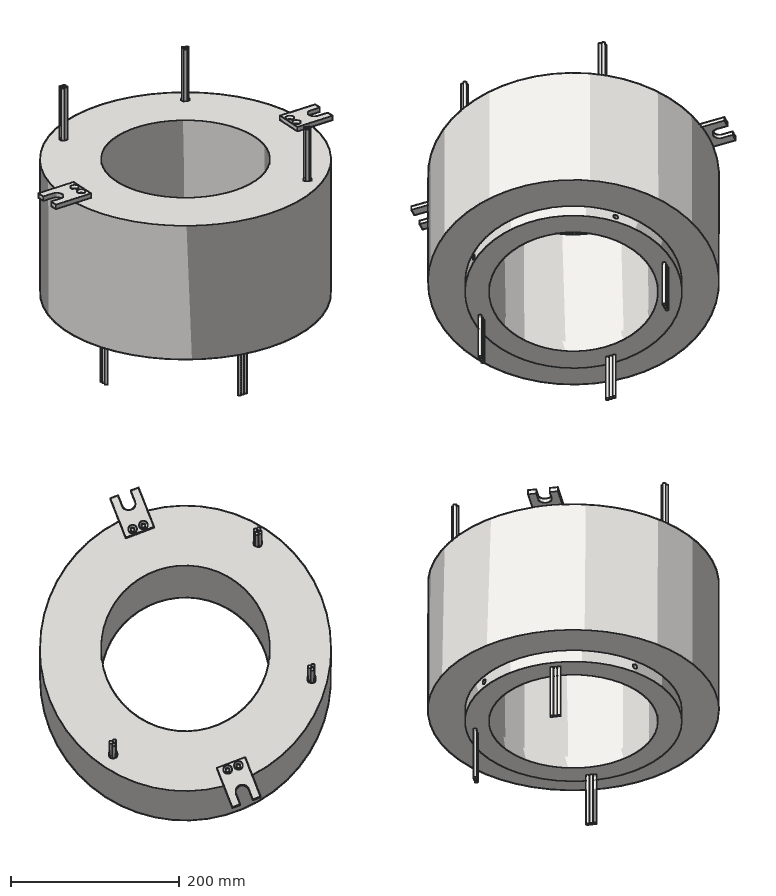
import cadquery as cq
import math

case_radius = 172.5
winding_radius = 167.0
sleeve_radius = 115.0
bore_radius = 100.0
body_height = 178.5
base_radius = 128.5
base_height = 16.0
top_z = body_height / 2
body_bottom_z = -body_height / 2
base_bottom_z = body_bottom_z - base_height

base_hole_diameter = 6.0
base_hole_depth = 8.0
base_hole_angles = (45, 135, 225, 315)

lug_reach = 200.0
lug_length = 51.0
lug_width = 36.0
lug_thickness = 6.0
slot_width = 16.0
slot_depth = 21.5
screw_spacing = 13.5
screw_edge_distance = 6.5
screw_hole_diameter = 5.0
countersink_diameter = 10.5
countersink_angle = 90

wire_diameter = 4.0
wire_gap = 0.5
wire_pitch = wire_diameter + wire_gap
lead_length = 69.0
lead_hole_diameter = 10.5
lead_hole_depth = 4.0
top_lead_x = 126.0
top_lead_y = 88.0
bottom_lead_radius = 117.5
bottom_lead_angles = (-90, 0, 90)


def ring(outer_radius, inner_radius, bottom_z, height):
    profile = cq.Workplane("XY").workplane(offset=bottom_z).circle(outer_radius).circle(inner_radius)
    return profile.extrude(height)


def make_coil():
    """Fuse the concentric parts, keeping the joint lines between their flush faces."""
    base = ring(base_radius, bore_radius, base_bottom_z, base_height)
    case = ring(case_radius, winding_radius, body_bottom_z, body_height)
    winding = ring(winding_radius, sleeve_radius, body_bottom_z, body_height)
    sleeve = ring(sleeve_radius, bore_radius, body_bottom_z, body_height)
    return winding.union(case, clean=False).union(sleeve, clean=False).union(base, clean=False)


def make_base_hole(angle):
    hole_z = base_bottom_z + base_height / 2
    overshoot = 4.0
    drill = (
        cq.Workplane("YZ")
        .workplane(offset=base_radius - base_hole_depth)
        .center(0, hole_z)
        .circle(base_hole_diameter / 2)
        .extrude(base_hole_depth + overshoot)
    )
    return drill.rotate((0, 0, 0), (0, 0, 1), angle)


def make_lug():
    """Lug on the +Y side: open-ended slot outside, two countersunk screw holes inside."""
    inner_y = lug_reach - lug_length
    slot_radius = slot_width / 2
    slot_center_y = lug_reach - slot_depth + slot_radius
    lug = (
        cq.Workplane("XY", origin=(0, 0, top_z))
        .moveTo(-lug_width / 2, inner_y)
        .lineTo(lug_width / 2, inner_y)
        .lineTo(lug_width / 2, lug_reach)
        .lineTo(slot_radius, lug_reach)
        .lineTo(slot_radius, slot_center_y)
        .threePointArc((0, lug_reach - slot_depth), (-slot_radius, slot_center_y))
        .lineTo(-slot_radius, lug_reach)
        .lineTo(-lug_width / 2, lug_reach)
        .close()
        .extrude(lug_thickness)
    )
    screw_y = inner_y + screw_edge_distance
    return (
        lug.faces(">Z")
        .workplane(origin=(0, 0, top_z + lug_thickness))
        .pushPoints([(-screw_spacing / 2, screw_y), (screw_spacing / 2, screw_y)])
        .cskHole(screw_hole_diameter, countersink_diameter, countersink_angle)
    )


def make_wires(points, start_z, length):
    return (
        cq.Workplane("XY")
        .workplane(offset=start_z)
        .pushPoints(points)
        .circle(wire_diameter / 2)
        .extrude(length)
    )


def wire_cluster(count, start_angle):
    """Centres of a round bundle whose neighbouring wires are one pitch apart."""
    cluster_radius = wire_pitch / (2 * math.sin(math.pi / count))
    angles = [math.radians(start_angle + i * 360 / count) for i in range(count)]
    return [(cluster_radius * math.cos(a), cluster_radius * math.sin(a)) for a in angles]


def add_top_lead(part, x, y, cluster):
    """Sink a round hole in the top face and stand a bundle of wires on its floor."""
    floor_z = top_z - lead_hole_depth
    hole = (
        cq.Workplane("XY", origin=(x, y, floor_z))
        .circle(lead_hole_diameter / 2)
        .extrude(lead_hole_depth)
    )
    points = [(x + dx, y + dy) for dx, dy in cluster]
    wires = make_wires(points, floor_z, lead_hole_depth + lead_length)
    return part.cut(hole, clean=False).union(wires, clean=False)


def make_bottom_lead(angle):
    """Flat row of three wires hanging below the base ring, side by side along its tangent."""
    points = [(bottom_lead_radius, i * wire_pitch) for i in (-1, 0, 1)]
    wires = make_wires(points, base_bottom_z, -lead_length)
    return wires.rotate((0, 0, 0), (0, 0, 1), angle)


part = make_coil()

for angle in base_hole_angles:
    part = part.cut(make_base_hole(angle), clean=False)

for angle in (0, 180):
    part = part.union(make_lug().rotate((0, 0, 0), (0, 0, 1), angle), clean=False)

three_wires = wire_cluster(3, 90)
four_wires = wire_cluster(4, 45)
part = add_top_lead(part, -top_lead_x, top_lead_y, three_wires)
part = add_top_lead(part, top_lead_x, top_lead_y, three_wires)
part = add_top_lead(part, -top_lead_x, -top_lead_y, four_wires)

for angle in bottom_lead_angles:
    part = part.union(make_bottom_lead(angle), clean=False)

result = part.solids()